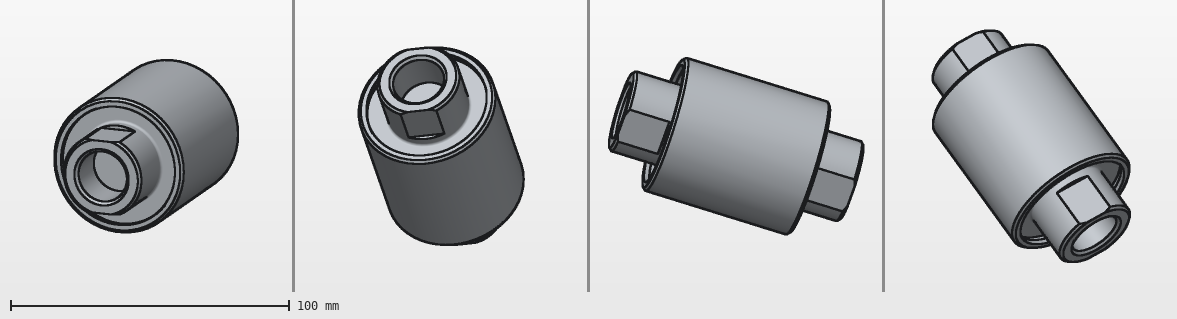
import cadquery as cq
import math

TOTAL_LENGTH = 87.0
BODY_LENGTH = 55.0
BODY_DIAMETER = 50.0
BODY_CHAMFER = 1.0

RECESS_DIAMETER = 44.0
RECESS_DEPTH = 4.0
GROOVE_DIAMETER = 45.6
GROOVE_WIDTH = 2.0

STUB_DIAMETER = 30.0
STUB_CHAMFER = 1.0
ROOT_FILLET = 1.0
FLAT_WIDTH = 27.0
FLAT_LENGTH = 16.0
BORE_DIAMETER = 18.63
BORE_MOUTH_DIAMETER = 20.955
BORE_DEPTH = 16.0

BODY_END = BODY_LENGTH / 2
STUB_END = TOTAL_LENGTH / 2
RECESS_FLOOR = BODY_END - RECESS_DEPTH


def rod(diameter, start, end):
    """Cylinder along Y between two Y positions."""
    plane = cq.Workplane(cq.Plane((0, start, 0), (1, 0, 0), (0, 1, 0)))
    return plane.circle(diameter / 2).extrude(end - start)


def make_body():
    return rod(BODY_DIAMETER, -BODY_END, BODY_END).edges("%CIRCLE").chamfer(BODY_CHAMFER)


def make_recess():
    """Material removed from the +Y end face of the body."""
    pocket = rod(RECESS_DIAMETER, RECESS_FLOOR, BODY_END)
    groove = rod(GROOVE_DIAMETER, RECESS_FLOOR, RECESS_FLOOR + GROOVE_WIDTH)
    return pocket.union(groove)


def make_stub():
    """+Y stub with its two wrench flats."""
    stub = rod(STUB_DIAMETER, RECESS_FLOOR, STUB_END).faces(">Y").chamfer(STUB_CHAMFER)
    flats = (
        cq.Workplane("XY")
        .box(STUB_DIAMETER, FLAT_LENGTH, STUB_DIAMETER)
        .cut(cq.Workplane("XY").box(STUB_DIAMETER, FLAT_LENGTH, FLAT_WIDTH))
        .translate((0, STUB_END - FLAT_LENGTH / 2, 0))
    )
    return stub.cut(flats)


def make_root_fillet():
    """Disc whose rim is the concave fillet between the +Y stub and the recess floor."""
    inner = STUB_DIAMETER / 2
    outer = inner + ROOT_FILLET
    top = RECESS_FLOOR + ROOT_FILLET
    arc_middle = ROOT_FILLET * math.sqrt(0.5)
    return (
        cq.Workplane("XY")
        .moveTo(0, RECESS_FLOOR)
        .lineTo(outer, RECESS_FLOOR)
        .threePointArc((outer - arc_middle, top - arc_middle), (inner, top))
        .lineTo(0, top)
        .close()
        .revolve(360, (0, 0, 0), (0, 1, 0))
    )


def make_bore():
    """Blind hole in the +Y stub with a 45 degree countersunk mouth."""
    countersink_depth = (BORE_MOUTH_DIAMETER - BORE_DIAMETER) / 2
    return (
        cq.Workplane("XY")
        .moveTo(0, STUB_END)
        .lineTo(BORE_MOUTH_DIAMETER / 2, STUB_END)
        .lineTo(BORE_DIAMETER / 2, STUB_END - countersink_depth)
        .lineTo(BORE_DIAMETER / 2, STUB_END - BORE_DEPTH)
        .lineTo(0, STUB_END - BORE_DEPTH)
        .close()
        .revolve(360, (0, 0, 0), (0, 1, 0))
    )


def make_end():
    """+Y stub, filleted onto the recess floor, with its blind bore."""
    return make_stub().union(make_root_fillet()).cut(make_bore())


def mirrored(feature):
    return feature.mirror("XZ")


recess = make_recess()
end = make_end()
body = make_body().cut(recess).cut(mirrored(recess))
result = body.union(end).union(mirrored(end))